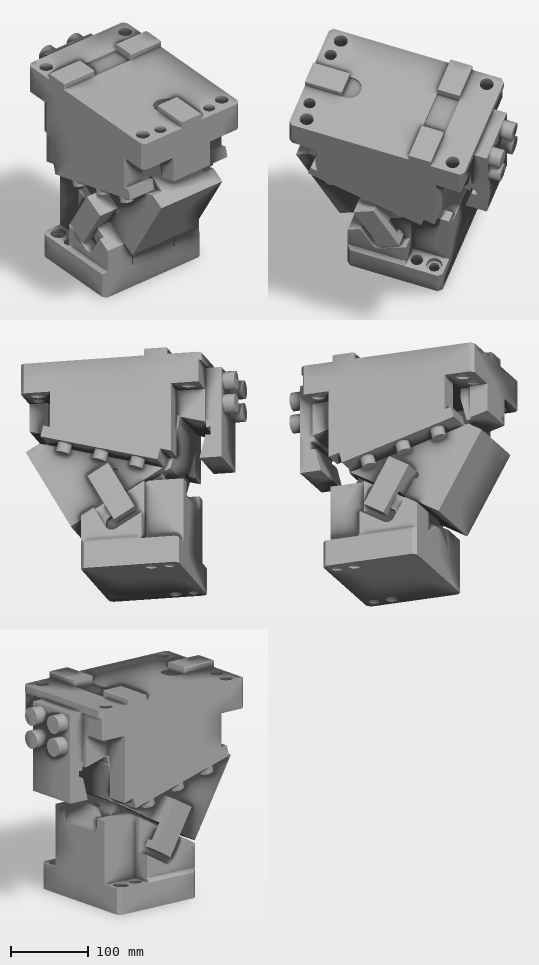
import cadquery as cq
import math


TOP = 289.0
WIDTH = 160.0
HALF_WIDTH = WIDTH / 2
CORNER_CHAMFER = 5.0
DOWEL_DIAMETER = 16.0
HOLE_INSET = 15.0
BOLT_HOLE_Y = HALF_WIDTH - HOLE_INSET
BODY_HALF = 50.3
SPAN = 578.0

RAMP_ANGLE = 30.0
RAMP_TOP = 127.5
FLANGE_BOTTOM = 107.5
VEE_RIDGE = 119.5
VEE_EDGE = 105.0
VEE_FLAT_HALF = 6.6
GUIDE_HALF = 32.7
GUIDE_CLEARANCE_HALF = 35.0

TRACK_ANGLE = 15.0
TRACK_ROOF = 196.5
KEEPER_TOP = 142.2
KEEPER_BOTTOM = 127.5

BASE_LENGTH = 130.0
FOOT_HEIGHT = 35.0
COLUMN_LENGTH = 50.0
COLUMN_TOP = 120.2
BASE_UPPER_HALF = HALF_WIDTH - CORNER_CHAMFER
GUIDE_BLOCK_START = -48.0
GUIDE_FLOOR = 87.5
GUIDE_SHELF = 92.0
WEB_HALF = 59.5
FLANGE_HALF = 68.2
FLANGE_START = 18.0
POCKET_END = 57.0
POCKET_FLOOR = 86.7
POCKET_RADIUS = (FLANGE_BOTTOM - POCKET_FLOOR) / 2
BASE_DOWEL_X = 39.0
BASE_DOWEL_CHAMFER = 1.0
MOUTH_ANGLE = 45.0
BASE_BOLT_DIAMETER = 14.0
COUNTERBORE_DIAMETER = 20.8
COUNTERBORE_DEPTH = 6.0

SLIDE_BOTTOM = 132.0
SLIDE_THICKNESS = 120.0
SLIDE_RAMP_TOP = SLIDE_BOTTOM + SLIDE_THICKNESS
SLIDE_RAMP_END = 96.8
SLIDE_TRACK_START = 56.5
SLIDE_SHOULDER = 124.5
WEAR_LAYER_START = 57.8
WEAR_LAYER_BOTTOM = 186.5
WEAR_LAYER_HALF = 49.5
SLIDE_NECK_HALF = 35.0
GUIDE_PLATE_START = -38.7
GUIDE_PLATE_END = 61.5
RIDGE_CLEARANCE = 4.3
PLATE_RELIEF_RADIUS = 5.8
PLATE_RELIEF_Y = 26.0
HOOK_START = 11.0
HOOK_END = 42.5
HOOK_TOP = 167.0
HOOK_BOTTOM = 96.8
HOOK_LIP_TOP = 107.0
HOOK_LIP_INNER = 61.8
HOOK_ARM_INNER = 69.5
HOOK_RELIEF_RADIUS = 4.5
RELIEF_DEPTH = 5.0

PLATE_START = -30.0
PLATE_LENGTH = 240.0
PLATE_END = PLATE_START + PLATE_LENGTH
PLATE_TOP = 280.0
PLATE_BOTTOM = 240.2
LIP_BOTTOM = 270.0
LIP_OVERHANG = 3.2
FRONT_FACE = PLATE_START + LIP_OVERHANG
LUG_HALF = 44.8
SKIRT_START = 9.2
SKIRT_END = 170.2
KEEPER_INNER = 40.2
KEEPER_START = 62.7
KEEPER_END = 223.5
REAR_LUG_START = 185.2
REAR_LUG_HALF = 30.0
REAR_WEB_HALF = 25.0
PLATE_HOLE_DIAMETER = 18.0
PLATE_HOLE_INSET = 20.0
HOLDER_DOWEL_Y = 40.2
KEEPER_BOLT_DIAMETER = 18.5
KEEPER_BOLT_HEAD = 12.7
KEEPER_BOLT_PITCH = 50.3
STOP_HALF = 38.1
STOP_THICKNESS = 20.5
STOP_BOTTOM = 149.7
STOP_NOTCH_BOTTOM = 180.3
STOP_NOTCH_TOP = 190.7
STOP_NOTCH_DEPTH = 6.0
STOP_TOE_TOP = 1.0
STOP_TOE_BOTTOM = 8.7
STOP_BOLT_DIAMETER = 24.3
STOP_BOLT_HEAD = 16.0
STOP_BOLT_Y = 22.5
STOP_BOLT_HEIGHTS = (224.8, 255.5)
KEYWAY_DEPTH = 3.5
KEY_CHAMFER = 1.0
CROSS_KEY_START = 14.5
CROSS_KEY_LENGTH = 30.5
CROSS_KEY_INNER = 30.0
LONG_KEY_LENGTH = 50.3
LONG_KEY_HALF = 16.2
LONG_KEYWAY_CENTRE = 155.2


def side_plane(angle):
    """Plane through the origin, extruding along -Y, whose local x climbs at `angle` towards +X."""
    tilt = math.radians(angle)
    return cq.Plane(origin=(0, 0, 0), xDir=(math.cos(tilt), 0, math.sin(tilt)), normal=(0, -1, 0))


UPRIGHT = side_plane(0)
RAMP = side_plane(-RAMP_ANGLE)
TRACK = side_plane(TRACK_ANGLE)


def rectangle(x_low, x_high, y_low, y_high):
    return [(x_low, y_low), (x_high, y_low), (x_high, y_high), (x_low, y_high)]


def middle_prism(plane, points, half_width):
    """Outline extruded equally to both sides of the symmetry plane."""
    return cq.Workplane(plane).polyline(points).close().extrude(half_width, both=True)


def side_prisms(plane, points, inner, outer=SPAN):
    """Outline extruded between two distances from the symmetry plane, on both sides."""
    return middle_prism(plane, points, outer).cut(middle_prism(plane, points, inner))


def track_z(x, height):
    """Z of the 15 degree line `height` above the origin, at position x."""
    tilt = math.radians(TRACK_ANGLE)
    return height / math.cos(tilt) + x * math.tan(tilt)


def mirrored(x, y):
    """The point and its image across the symmetry plane."""
    return [(x, -y), (x, y)]


def vee_prism(start, end, height):
    """Guide bar along the ramp, bounded by the V surface and the flat at `height`."""
    section = [
        (-GUIDE_HALF, height),
        (-GUIDE_HALF, VEE_EDGE),
        (-VEE_FLAT_HALF, VEE_RIDGE),
        (VEE_FLAT_HALF, VEE_RIDGE),
        (GUIDE_HALF, VEE_EDGE),
        (GUIDE_HALF, height),
    ]
    across = cq.Plane(origin=RAMP.toWorldCoords((start, 0, 0)), xDir=(0, 1, 0), normal=RAMP.xDir)
    return cq.Workplane(across).polyline(section).close().extrude(end - start)


def base_blank():
    """Foot, narrowing through a 45 degree shoulder to a body cut off by the ramp."""
    block = cq.Workplane().box(BASE_LENGTH, WIDTH, COLUMN_TOP, centered=(False, True, False))
    block = block.edges("|Z").chamfer(CORNER_CHAMFER)
    shoulder_top = FOOT_HEIGHT + CORNER_CHAMFER
    shoulder = [
        (HALF_WIDTH, FOOT_HEIGHT),
        (BASE_UPPER_HALF, shoulder_top),
        (BASE_UPPER_HALF, SPAN),
        (HALF_WIDTH, SPAN),
    ]
    waste = cq.Workplane("YZ").polyline(shoulder).close().extrude(BASE_LENGTH)
    body = block.cut(waste).cut(waste.mirror("XZ"))
    beside_column = rectangle(0, COLUMN_LENGTH, FOOT_HEIGHT, SPAN)
    return (
        body.cut(side_prisms(UPRIGHT, beside_column, BODY_HALF))
        .cut(middle_prism(RAMP, rectangle(-SPAN, SPAN, RAMP_TOP, SPAN), SPAN))
    )


def hook_pockets():
    """Side pockets for the slide's hooks; a flange stays along the top of the web."""
    pocket = middle_prism(RAMP, rectangle(-SPAN, POCKET_END, POCKET_FLOOR, SPAN), SPAN)
    flange = middle_prism(RAMP, rectangle(FLANGE_START, SPAN, FLANGE_BOTTOM, SPAN), FLANGE_HALF)
    web = middle_prism(RAMP, rectangle(-SPAN, SPAN, -SPAN, SPAN), WEB_HALF)
    end_centre_x = POCKET_END - POCKET_RADIUS
    end_centre_y = POCKET_FLOOR + POCKET_RADIUS
    corner = middle_prism(RAMP, rectangle(end_centre_x, POCKET_END, POCKET_FLOOR, end_centre_y), SPAN)
    upper_corner = rectangle(end_centre_x, POCKET_END, end_centre_y, FLANGE_BOTTOM)
    under_flange = middle_prism(RAMP, upper_corner, FLANGE_HALF)
    round_end = (
        cq.Workplane(RAMP).center(end_centre_x, end_centre_y).circle(POCKET_RADIUS).extrude(SPAN, both=True)
    )
    fillets = corner.union(under_flange).cut(round_end)
    return pocket.cut(flange).cut(fillets).cut(web)


def guide_slot():
    """Channel down the ramp: a wide clearance above the seat of the guide block."""
    clearance = middle_prism(RAMP, rectangle(-SPAN, SPAN, GUIDE_SHELF, SPAN), GUIDE_CLEARANCE_HALF)
    seat = middle_prism(RAMP, rectangle(-SPAN, SPAN, GUIDE_FLOOR, SPAN), GUIDE_HALF)
    return clearance.union(seat)


def guide_block():
    """Raised V of the guide, ending flush with the front of the base."""
    block = vee_prism(GUIDE_BLOCK_START, SPAN, GUIDE_FLOOR)
    return block.intersect(middle_prism(UPRIGHT, rectangle(-SPAN, BASE_LENGTH, 0, SPAN), SPAN))


def make_base():
    """Base with its hook pockets, V guide, counterbored bolt holes and dowel holes."""
    body = base_blank().cut(hook_pockets()).cut(guide_slot()).union(guide_block())
    ledge = cq.Workplane(origin=(0, 0, FOOT_HEIGHT))
    bolt_places = mirrored(HOLE_INSET, BOLT_HOLE_Y)
    dowel_places = mirrored(BASE_DOWEL_X, BOLT_HOLE_Y)
    bolt_holes = ledge.pushPoints(bolt_places).circle(BASE_BOLT_DIAMETER / 2).extrude(-FOOT_HEIGHT)
    counterbores = ledge.pushPoints(bolt_places).circle(COUNTERBORE_DIAMETER / 2).extrude(-COUNTERBORE_DEPTH)
    dowel_holes = ledge.pushPoints(dowel_places).circle(DOWEL_DIAMETER / 2).extrude(-FOOT_HEIGHT)
    dowel_mouths = (
        ledge.pushPoints(dowel_places)
        .circle(DOWEL_DIAMETER / 2 + BASE_DOWEL_CHAMFER)
        .extrude(-BASE_DOWEL_CHAMFER, taper=MOUTH_ANGLE)
    )
    return body.cut(bolt_holes).cut(counterbores).cut(dowel_holes).cut(dowel_mouths)


def slide_body():
    """Wedge between ramp and track, grooved on both sides for the keepers."""
    ramp_part = rectangle(-SPAN, SLIDE_RAMP_END, SLIDE_BOTTOM, SLIDE_RAMP_TOP)
    track_part = rectangle(SLIDE_TRACK_START, SPAN, -SPAN, TRACK_ROOF)
    wedge = middle_prism(RAMP, ramp_part, BODY_HALF).intersect(middle_prism(TRACK, track_part, BODY_HALF))
    keeper_grooves = side_prisms(TRACK, rectangle(-SPAN, SPAN, SLIDE_SHOULDER, KEEPER_TOP), SLIDE_NECK_HALF)
    wear_layer_sides = side_prisms(TRACK, rectangle(-SPAN, SPAN, WEAR_LAYER_BOTTOM, SPAN), WEAR_LAYER_HALF)
    before_wear_layer = rectangle(-SPAN, WEAR_LAYER_START, WEAR_LAYER_BOTTOM, SPAN)
    wear_layer_end = middle_prism(TRACK, before_wear_layer, SPAN)
    return wedge.cut(keeper_grooves).cut(wear_layer_sides).cut(wear_layer_end)


def plate_reliefs():
    """Round corner reliefs in the slide's underside, at the end of the guide plate."""
    underside = cq.Plane(
        origin=RAMP.toWorldCoords((GUIDE_PLATE_START, SLIDE_BOTTOM, 0)), xDir=RAMP.xDir, normal=RAMP.yDir
    )
    places = mirrored(0, PLATE_RELIEF_Y)
    return cq.Workplane(underside).pushPoints(places).circle(PLATE_RELIEF_RADIUS).extrude(RELIEF_DEPTH)


def hook_reliefs():
    """Round corner reliefs in the slide's sides, at the upper corners of the hooks."""
    height = HOOK_TOP - HOOK_RELIEF_RADIUS
    circles = (
        cq.Workplane(RAMP)
        .pushPoints([(HOOK_START, height), (HOOK_END, height)])
        .circle(HOOK_RELIEF_RADIUS)
    )
    through = circles.extrude(BODY_HALF, both=True)
    return through.cut(middle_prism(RAMP, rectangle(-SPAN, SPAN, 0, SPAN), BODY_HALF - RELIEF_DEPTH))


def hooks():
    """Blocks on the slide's sides whose lips reach under the base flange."""
    blocks = side_prisms(RAMP, rectangle(HOOK_START, HOOK_END, HOOK_BOTTOM, HOOK_TOP), BODY_HALF, HALF_WIDTH)
    flange_room = middle_prism(RAMP, rectangle(-SPAN, SPAN, HOOK_LIP_TOP, SLIDE_BOTTOM), HOOK_ARM_INNER)
    lip_room = middle_prism(RAMP, rectangle(-SPAN, SPAN, 0, SLIDE_BOTTOM), HOOK_LIP_INNER)
    return blocks.cut(flange_room).cut(lip_room)


def guide_plate():
    """V-grooved plate let into the underside, relieved above the ridge of the guide block."""
    plate = vee_prism(GUIDE_PLATE_START, GUIDE_PLATE_END, SLIDE_BOTTOM + RELIEF_DEPTH)
    ridge_room = rectangle(GUIDE_PLATE_START, GUIDE_PLATE_END, VEE_RIDGE, VEE_RIDGE + RIDGE_CLEARANCE)
    return plate.cut(middle_prism(RAMP, ridge_room, VEE_FLAT_HALF))


def make_slide():
    """Slide body with its guide plate and hooks."""
    body = slide_body().cut(plate_reliefs()).cut(hook_reliefs())
    return body.union(guide_plate()).union(hooks())


def holder_plate():
    """Mounting plate with four bolt holes, two dowel holes and an overhanging front lip."""
    plate = (
        cq.Workplane(origin=(PLATE_START, 0, PLATE_BOTTOM))
        .box(PLATE_LENGTH, WIDTH, PLATE_TOP - PLATE_BOTTOM, centered=(False, True, False))
        .edges("|Z")
        .chamfer(CORNER_CHAMFER)
    )
    under_lip = middle_prism(UPRIGHT, rectangle(PLATE_START, FRONT_FACE, 0, LIP_BOTTOM), SPAN)
    underside = cq.Workplane(origin=(0, 0, PLATE_BOTTOM))
    front_places = mirrored(PLATE_START + PLATE_HOLE_INSET, BOLT_HOLE_Y)
    rear_places = mirrored(PLATE_END - PLATE_HOLE_INSET, BOLT_HOLE_Y)
    dowel_places = mirrored(PLATE_END - HOLE_INSET, HOLDER_DOWEL_Y)
    bolt_places = front_places + rear_places
    bolt_holes = underside.pushPoints(bolt_places).circle(PLATE_HOLE_DIAMETER / 2).extrude(SPAN)
    dowel_holes = underside.pushPoints(dowel_places).circle(DOWEL_DIAMETER / 2).extrude(SPAN)
    return plate.cut(under_lip).cut(bolt_holes).cut(dowel_holes)


def track_roof():
    """Wedge under the plate that bears on the slide, with a narrower lug in front of the skirts."""
    def wedge(start, half_width):
        below = rectangle(-SPAN, SPAN, -SPAN, TRACK_ROOF)
        block = middle_prism(UPRIGHT, rectangle(start, SKIRT_END, 0, PLATE_BOTTOM), half_width)
        return block.cut(middle_prism(TRACK, below, SPAN))
    return wedge(FRONT_FACE, LUG_HALF).union(wedge(SKIRT_START, BODY_HALF))


def skirts():
    """Side walls that enclose the slide, cut off along the track."""
    outline = [
        (SKIRT_START, PLATE_BOTTOM),
        (SKIRT_START, track_z(SKIRT_START, KEEPER_TOP)),
        (SKIRT_END, track_z(SKIRT_END, KEEPER_TOP)),
        (SKIRT_END, PLATE_BOTTOM),
    ]
    return side_prisms(UPRIGHT, outline, BODY_HALF, HALF_WIDTH)


def rear_lug():
    """Stop behind the slide: a thin web squared to the track and a wider lug at the end."""
    lug = middle_prism(UPRIGHT, rectangle(REAR_LUG_START, PLATE_END, 0, PLATE_BOTTOM), REAR_LUG_HALF)
    web = (
        middle_prism(UPRIGHT, rectangle(SKIRT_END, REAR_LUG_START, 0, PLATE_BOTTOM), REAR_WEB_HALF)
        .cut(middle_prism(TRACK, rectangle(-SPAN, KEEPER_END, -SPAN, SPAN), SPAN))
    )
    return lug.union(web).cut(middle_prism(TRACK, rectangle(-SPAN, SPAN, -SPAN, KEEPER_TOP), SPAN))


def keepers():
    """Rails under the skirts that hold the slide, each with a row of bolt heads."""
    rail = rectangle(KEEPER_START, KEEPER_END, KEEPER_BOTTOM, KEEPER_TOP)
    rails = side_prisms(TRACK, rail, KEEPER_INNER, HALF_WIDTH)
    middle = (KEEPER_START + KEEPER_END) / 2
    underside = cq.Plane(
        origin=TRACK.toWorldCoords((middle, KEEPER_BOTTOM, 0)), xDir=TRACK.xDir, normal=-TRACK.yDir
    )
    bolt_places = [
        place
        for step in (-1, 0, 1)
        for place in mirrored(step * KEEPER_BOLT_PITCH, BOLT_HOLE_Y)
    ]
    heads = (
        cq.Workplane(underside)
        .pushPoints(bolt_places)
        .circle(KEEPER_BOLT_DIAMETER / 2)
        .extrude(KEEPER_BOLT_HEAD)
    )
    return rails.union(heads)


def stop_plate():
    """Notched plate bolted to the front face, with four bolt heads."""
    stop_start = FRONT_FACE - STOP_THICKNESS
    outline = [
        (stop_start, STOP_BOTTOM),
        (stop_start, LIP_BOTTOM),
        (FRONT_FACE, LIP_BOTTOM),
        (FRONT_FACE, STOP_NOTCH_TOP),
        (FRONT_FACE - STOP_NOTCH_DEPTH, STOP_NOTCH_TOP),
        (FRONT_FACE - STOP_NOTCH_DEPTH, STOP_NOTCH_BOTTOM),
        (FRONT_FACE + STOP_TOE_TOP, STOP_NOTCH_BOTTOM),
        (FRONT_FACE + STOP_TOE_BOTTOM, STOP_BOTTOM),
    ]
    bolt_places = [(y, z) for z in STOP_BOLT_HEIGHTS for y in (-STOP_BOLT_Y, STOP_BOLT_Y)]
    heads = (
        cq.Workplane("YZ", origin=(stop_start, 0, 0))
        .pushPoints(bolt_places)
        .circle(STOP_BOLT_DIAMETER / 2)
        .extrude(-STOP_BOLT_HEAD)
    )
    return middle_prism(UPRIGHT, outline, STOP_HALF).union(heads)


def keyways():
    """Shallow channels in the plate: one across it and one round-ended, open to the rear."""
    floor = PLATE_TOP - KEYWAY_DEPTH
    cross_end = CROSS_KEY_START + CROSS_KEY_LENGTH
    cross = middle_prism(UPRIGHT, rectangle(CROSS_KEY_START, cross_end, floor, SPAN), SPAN)
    straight = middle_prism(UPRIGHT, rectangle(LONG_KEYWAY_CENTRE, SPAN, floor, SPAN), LONG_KEY_HALF)
    round_end = (
        cq.Workplane(origin=(LONG_KEYWAY_CENTRE, 0, floor)).circle(LONG_KEY_HALF).extrude(KEYWAY_DEPTH)
    )
    return cross.union(straight).union(round_end)


def keys():
    """Two cross keys and one lengthwise key, chamfered along their upper long edges."""
    floor = PLATE_TOP - KEYWAY_DEPTH
    cross_outline = rectangle(CROSS_KEY_START, CROSS_KEY_START + CROSS_KEY_LENGTH, floor, TOP)
    cross = side_prisms(UPRIGHT, cross_outline, CROSS_KEY_INNER, HALF_WIDTH)
    cross = cross.faces(">Z").edges("|Y").chamfer(KEY_CHAMFER)
    long_outline = rectangle(PLATE_END - LONG_KEY_LENGTH, PLATE_END, floor, TOP)
    lengthwise = middle_prism(UPRIGHT, long_outline, LONG_KEY_HALF)
    lengthwise = lengthwise.faces(">Z").edges("|X").chamfer(KEY_CHAMFER)
    return cross.union(lengthwise)


def make_holder():
    """Holder plate with everything that is fixed to it."""
    return (
        holder_plate()
        .cut(keyways())
        .union(keys())
        .union(track_roof())
        .union(skirts())
        .union(keepers())
        .union(rear_lug())
        .union(stop_plate())
    )


base = make_base()
slide = make_slide()
holder = make_holder()
result = cq.Compound.makeCompound([holder.solids().val(), slide.solids().val(), base.solids().val()])